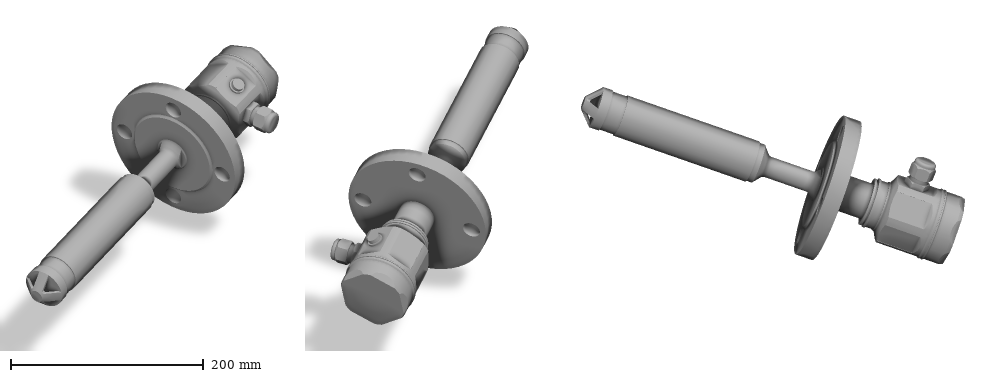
import cadquery as cq
import math

length = 410.0

cap_radius = 37.0
cap_end = 20.5
cap_edge_height = 4.0
cap_edge_inset = 1.2
grip_count = 6
grip_first_angle = -10.0
grip_depth = 7.0
grip_inset = 4.0

bead_radius = 38.0
bead_width = 2.5
bead_gap = 2.0
bead_chamfer = 1.2
bead_gap_radius = 37.5

body_radius = 37.0
body_end = 73.5
panel_count = 6
panel_apothem = 33.5
panel_width = 28.3
panel_start = 35.3
panel_run_out = 4.0

taper_end = 78.7
collar_lip_end = 80.8
collar_lip_radius = 26.5
collar_radius = 25.5
collar_end = 89.8
collar_ring_width = 2.0
collar_groove_radius = 23.0
collar_groove_width = 2.0
housing_end = 96.0

fitting_station = 53.7
gland_nut_sides = 6
gland_corner_radius = 13.5
gland_base_end = 40.0
gland_nut_start = 45.0
gland_nut_end = 59.0
gland_tip = 63.5
gland_neck_radius = 10.2
gland_dome_radius = 11.5
gland_dome_fillet = 3.0
gland_small_chamfer = 1.2
gland_nut_chamfer = 3.0

plug_angle = 60.0
plug_flange_radius = 8.0
plug_flange_height = 2.0
plug_radius = 6.5
plug_height = 6.0

neck_radius = 19.3
flange_radius = 76.3
flange_start = 130.0
flange_end = 148.0
raised_face_base_radius = 48.8
raised_face_radius = 46.5
raised_face_height = 2.0
bolt_circle_radius = 60.3
bolt_hole_radius = 9.5
bolt_hole_count = 4

stem_radius = 11.0
stem_fillet = 5.0
weld_radius = 18.5
weld_cone_angle = 45.0
weld_flat_count = 2
weld_flat_half_width = 12.0
weld_flat_offset = 1.2

shoulder_start = 205.5
shoulder_cone_angle = 49.0
core_radius = 21.0
sleeve_radius = 22.0
sleeve_start = 222.5
sleeve_end = 368.5
ring_start = 385.5
ring_end = 395.5

cage_tip_radius = 7.0
cage_hub_radius = 9.0
cage_arm_width = 11.0
cage_arm_inner_radius = 18.5
cage_hub_thickness = 5.0


def revolve_stations(points):
    """Revolve an outline of (radius, station) points about the Y axis."""
    outline = [(radius, -station) for radius, station in points]
    return cq.Workplane("XY").polyline(outline).close().revolve(360, (0, 0), (0, 1))


def cut_around_axis(solid, tool, first_angle, count):
    """Cut copies of a tool, made on the +X side, evenly spaced around the Y axis."""
    for index in range(count):
        angle = first_angle + index * 360 / count
        solid = solid.cut(tool.rotate((0, 0, 0), (0, 1, 0), -angle))
    return solid


def side_cutter(points, width):
    """Prism with an outline of (x, station) points, centred on Z = 0."""
    outline = [(x, -station) for x, station in points]
    return cq.Workplane("XY").polyline(outline).close().extrude(width / 2, both=True)


def housing_shell():
    first_bead_end = cap_end + bead_width
    second_bead_start = first_bead_end + bead_gap
    second_bead_end = second_bead_start + bead_width
    groove_start = collar_end + collar_ring_width
    groove_end = groove_start + collar_groove_width
    return revolve_stations([
        (0, 0),
        (cap_radius - cap_edge_inset, 0),
        (cap_radius, cap_edge_height),
        (cap_radius, cap_end),
        (bead_radius, cap_end + bead_chamfer),
        (bead_radius, first_bead_end),
        (bead_gap_radius, first_bead_end),
        (bead_gap_radius, second_bead_start),
        (bead_radius, second_bead_start),
        (bead_radius, second_bead_end - bead_chamfer),
        (body_radius, second_bead_end),
        (body_radius, body_end),
        (collar_lip_radius, taper_end),
        (collar_lip_radius, collar_lip_end),
        (collar_radius, collar_lip_end),
        (collar_radius, collar_end),
        (collar_lip_radius, collar_end),
        (collar_lip_radius, groove_start),
        (collar_groove_radius, groove_start),
        (collar_groove_radius, groove_end),
        (collar_radius, groove_end),
        (collar_radius, housing_end),
        (0, housing_end),
    ])


def grip_cutter():
    """Wedge that leaves one sloping finger grip on the cap edge."""
    return side_cutter(
        [(cap_radius - grip_inset, 0), (cap_radius, grip_depth), (bead_radius, grip_depth), (bead_radius, 0)],
        cap_radius,
    )


def panel_cutter():
    """Block that sinks one flat panel into the body, with a sloping run-out towards the cap."""
    return side_cutter(
        [
            (panel_apothem, panel_start),
            (body_radius, panel_start - panel_run_out),
            (bead_radius, panel_start - panel_run_out),
            (bead_radius, taper_end),
            (panel_apothem, taper_end),
        ],
        panel_width,
    )


def hex_nut(start_x, end_x, start_chamfer, end_chamfer):
    """Hexagon along X with corners towards +Y and -Y and turned, conical ends."""
    nut = (
        cq.Workplane("YZ", origin=(start_x, 0, 0))
        .polygon(gland_nut_sides, 2 * gland_corner_radius)
        .extrude(end_x - start_x)
    )
    turned = (
        cq.Workplane("YZ", origin=(start_x, 0, 0))
        .circle(gland_corner_radius)
        .extrude(end_x - start_x)
        .faces("<X").chamfer(start_chamfer)
        .faces(">X").chamfer(end_chamfer)
    )
    return nut.intersect(turned)


def cable_gland():
    base = hex_nut(0, gland_base_end, gland_small_chamfer, gland_small_chamfer)
    nut = hex_nut(gland_nut_start, gland_nut_end, gland_small_chamfer, gland_nut_chamfer)
    neck = cq.Workplane("YZ").circle(gland_neck_radius).extrude(gland_nut_end)
    dome = (
        cq.Workplane("YZ", origin=(gland_nut_end, 0, 0))
        .circle(gland_dome_radius)
        .extrude(gland_tip - gland_nut_end)
        .faces(">X").edges().fillet(gland_dome_fillet)
    )
    return base.union(neck).union(nut).union(dome).translate((0, -fitting_station, 0))


def plug():
    flange = cq.Workplane("YZ").circle(plug_flange_radius).extrude(panel_apothem + plug_flange_height)
    head = cq.Workplane("YZ").circle(plug_radius).extrude(panel_apothem + plug_height)
    standing = flange.union(head).translate((0, -fitting_station, 0))
    return standing.rotate((0, 0, 0), (0, 1, 0), -plug_angle)


def make_housing():
    housing = housing_shell()
    housing = cut_around_axis(housing, grip_cutter(), grip_first_angle, grip_count)
    housing = cut_around_axis(housing, panel_cutter(), 0, panel_count)
    return housing.union(cable_gland()).union(plug())


def flanged_neck():
    face = flange_end + raised_face_height
    neck = revolve_stations([
        (0, housing_end),
        (neck_radius, housing_end),
        (neck_radius, flange_start),
        (flange_radius, flange_start),
        (flange_radius, flange_end),
        (raised_face_base_radius, flange_end),
        (raised_face_radius, face),
        (0, face),
    ])
    hole = (
        cq.Workplane("XZ", origin=(bolt_circle_radius, 0, 0))
        .circle(bolt_hole_radius)
        .extrude(flange_end)
    )
    return cut_around_axis(neck, hole, 0, bolt_hole_count)


def fillet_run(cone_angle):
    """Radial and axial size of the stem fillet that turns into a cone of the given angle."""
    turn = math.radians(cone_angle)
    return stem_fillet * (1 - math.cos(turn)), stem_fillet * math.sin(turn)


def stem():
    """Weld cone, stem and conical shoulder, with fillets where the cones meet the stem."""
    face = flange_end + raised_face_height
    weld_rise, weld_run = fillet_run(weld_cone_angle)
    weld_cone_end_radius = stem_radius + weld_rise
    weld_cone_length = (weld_radius - weld_cone_end_radius) / math.tan(math.radians(weld_cone_angle))
    weld_cone_end = face + weld_cone_length
    weld_end = weld_cone_end + weld_run

    shoulder_rise, shoulder_run = fillet_run(shoulder_cone_angle)
    shoulder_cone_radius = stem_radius + shoulder_rise
    shoulder_cone_start = shoulder_start + shoulder_run
    shoulder_cone_length = (core_radius - shoulder_cone_radius) / math.tan(math.radians(shoulder_cone_angle))
    shoulder_end = shoulder_cone_start + shoulder_cone_length

    return (
        cq.Workplane("XY")
        .moveTo(0, -face)
        .lineTo(weld_radius, -face)
        .lineTo(weld_cone_end_radius, -weld_cone_end)
        .tangentArcPoint((stem_radius, -weld_end), relative=False)
        .lineTo(stem_radius, -shoulder_start)
        .tangentArcPoint((shoulder_cone_radius, -shoulder_cone_start), relative=False)
        .lineTo(core_radius, -shoulder_end)
        .lineTo(core_radius, -sleeve_start)
        .lineTo(0, -sleeve_start)
        .close()
        .revolve(360, (0, 0), (0, 1))
    )


def weld_flat_cutter():
    """Block that leaves one wrench flat on the weld cone."""
    flat_start = flange_end + raised_face_height + weld_flat_offset
    return side_cutter(
        [
            (weld_flat_half_width, flat_start),
            (weld_radius, flat_start),
            (weld_radius, shoulder_start),
            (weld_flat_half_width, shoulder_start),
        ],
        2 * weld_radius,
    )


def sleeve():
    return revolve_stations([
        (0, sleeve_start),
        (sleeve_radius, sleeve_start),
        (sleeve_radius, sleeve_end),
        (core_radius, sleeve_end),
        (core_radius, ring_start),
        (sleeve_radius, ring_start),
        (sleeve_radius, ring_end),
        (0, ring_end),
    ])


def cage():
    """Conical shell trimmed to four crossed arms and a central hub."""
    hub_start = length - cage_hub_thickness
    cone_slope = (sleeve_radius - cage_tip_radius) / (length - ring_end)
    hub_inner_radius = cage_arm_inner_radius - cone_slope * (hub_start - ring_end)
    shell = revolve_stations([
        (0, hub_start),
        (hub_inner_radius, hub_start),
        (cage_arm_inner_radius, ring_end),
        (sleeve_radius, ring_end),
        (cage_tip_radius, length),
        (0, length),
    ])
    trim = cq.Workplane("XZ").circle(cage_hub_radius).extrude(length)
    for arm_size in [(2 * sleeve_radius, cage_arm_width), (cage_arm_width, 2 * sleeve_radius)]:
        trim = trim.union(cq.Workplane("XZ").rect(*arm_size).extrude(length))
    return shell.intersect(trim)


def make_sensor():
    welded_stem = cut_around_axis(stem(), weld_flat_cutter(), 0, weld_flat_count)
    return flanged_neck().union(welded_stem).union(sleeve()).union(cage())


housing = make_housing()
sensor = make_sensor()

result = cq.Compound.makeCompound([housing.val(), sensor.val()])